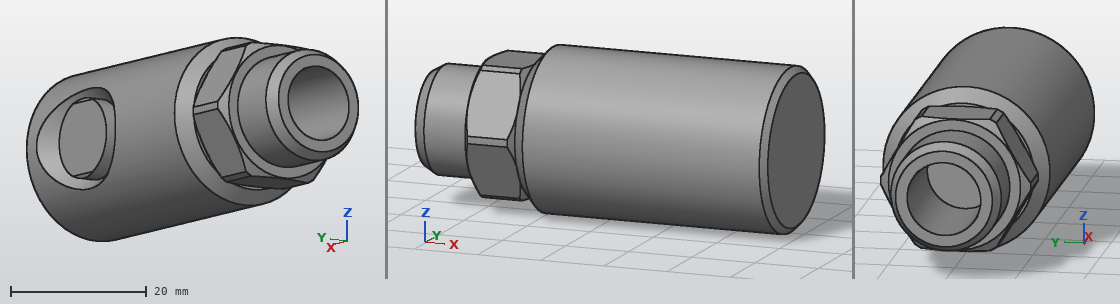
import cadquery as cq
import math

total_length = 57.5
hex_start = 8.9
body_start = 17.0
recess_x = 44.0

spigot_radius = 8.3
spigot_chamfer_length = 1.8
spigot_chamfer_angle = math.radians(30)
bore_radius = 5.5

hex_across_flats = 20.0
hex_turned_radius = 22.5 / 2
hex_face_radius = 9.9
hex_chamfer_length = 0.9

body_radius = 25.0 / 2
body_front_radius = 10.45
body_front_chamfer_length = 2.0
body_rear_chamfer = 1.0

recess_mouth_radius = 10.0
stud_radius = 6.0
stud_top_y = 11.25


def revolve_about_x(profile):
    """Turn a list of (x, radius) points, closed along the axis, about X."""
    first_x = profile[0][0]
    last_x = profile[-1][0]
    outline = [(first_x, 0), *profile, (last_x, 0)]
    return cq.Workplane("XY").polyline(outline).close().revolve(360, (0, 0, 0), (1, 0, 0))


def make_spigot():
    tip_radius = spigot_radius - spigot_chamfer_length * math.tan(spigot_chamfer_angle)
    return revolve_about_x([
        (0, tip_radius),
        (spigot_chamfer_length, spigot_radius),
        (hex_start, spigot_radius),
    ])


def make_hex_collar():
    """Hexagon with flats facing +/-Z, turned down at its corners and both end faces."""
    across_corners = hex_across_flats / math.cos(math.pi / 6)
    prism = (
        cq.Workplane("YZ", origin=(hex_start, 0, 0))
        .polygon(6, across_corners)
        .extrude(body_start - hex_start)
    )
    turned_envelope = revolve_about_x([
        (hex_start, hex_face_radius),
        (hex_start + hex_chamfer_length, hex_turned_radius),
        (body_start - hex_chamfer_length, hex_turned_radius),
        (body_start, hex_face_radius),
    ])
    return prism.intersect(turned_envelope)


def make_body():
    return revolve_about_x([
        (body_start, body_front_radius),
        (body_start + body_front_chamfer_length, body_radius),
        (total_length - body_rear_chamfer, body_radius),
        (total_length, body_radius - body_rear_chamfer),
    ])


def make_recess():
    """45 degree cone narrowing inward until it meets the stud, less the stud itself."""
    depth = recess_mouth_radius - stud_radius
    floor_y = body_radius - depth
    outline = [
        (recess_x, stud_top_y),
        (recess_x + stud_radius, stud_top_y),
        (recess_x + stud_radius, floor_y),
        (recess_x + recess_mouth_radius, body_radius),
        (recess_x, body_radius),
    ]
    return (
        cq.Workplane("XY").polyline(outline).close()
        .revolve(360, (recess_x, 0, 0), (recess_x, 1, 0))
    )


bore = cq.Workplane("YZ").circle(bore_radius).extrude(body_start)

result = make_spigot().union(make_hex_collar()).union(make_body()).cut(bore).cut(make_recess())